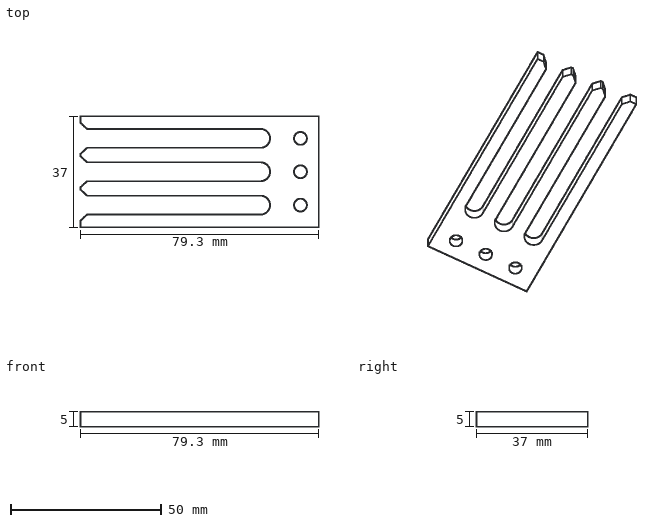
import cadquery as cq

length = 79.3
width = 37.0
thickness = 5.0

slot_pitch = 11.1
slot_width = 6.2
slot_end_x = 63.05
slot_radius = slot_width / 2
slot_centers = [-slot_pitch, 0, slot_pitch]

bevel_length = 2.2
bevel_width = 2.1

hole_diameter = 4.2
hole_x = 73.2


def slot_cutter(center_y):
    """Round-ended slot with a flared mouth, along X."""
    mouth_half = slot_radius + bevel_width
    arc_start_x = slot_end_x - slot_radius
    return (
        cq.Workplane("XY")
        .center(0, center_y)
        .moveTo(0, -mouth_half)
        .lineTo(bevel_length, -slot_radius)
        .lineTo(arc_start_x, -slot_radius)
        .threePointArc((slot_end_x, 0), (arc_start_x, slot_radius))
        .lineTo(bevel_length, slot_radius)
        .lineTo(0, mouth_half)
        .close()
        .extrude(thickness)
    )


result = cq.Workplane("XY").box(length, width, thickness, centered=(False, True, False))

for slot_y in slot_centers:
    result = result.cut(slot_cutter(slot_y))

hole_points = [(hole_x, slot_y) for slot_y in slot_centers]
hole_cutters = cq.Workplane("XY").pushPoints(hole_points).circle(hole_diameter / 2).extrude(thickness)
result = result.cut(hole_cutters)